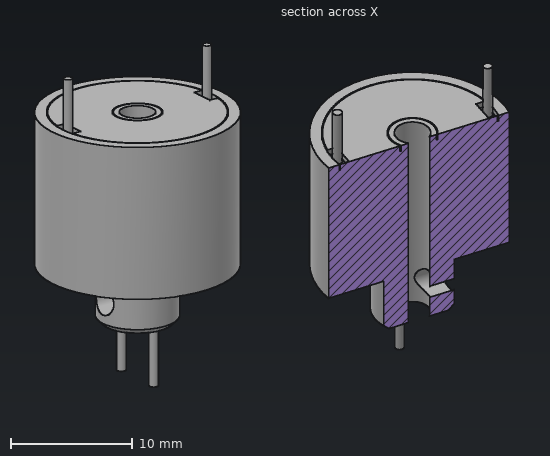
import cadquery as cq

body_diameter = 17.0
body_height = 13.35

boss_diameter = 7.0
boss_height = 5.0
boss_chamfer = 0.5
bore_diameter = 3.0
side_hole_diameter = 2.5

gap_width = 0.08
gap_depth = 0.55
cover_outer_radius = 7.5
sleeve_outer_radius = 2.0

pin_diameter = 0.8
top_pin_length = 4.45
top_pin_offset = 7.0
bottom_pin_length = 5.0
bottom_pin_offset = 2.3
pin_embedment = 0.5

pocket_width = 2.25
pocket_depth = 0.55
pocket_inner_edge = 6.5


def cylinder(radius, bottom, height, x=0, y=0):
    """Upright cylinder standing on the plane Z = bottom."""
    return cq.Workplane("XY", origin=(x, y, bottom)).circle(radius).extrude(height)


def ring_gap(inner_radius):
    """Narrow annular groove sunk from the top face."""
    floor = body_height - gap_depth
    outer = cylinder(inner_radius + gap_width, floor, gap_depth)
    return outer.cut(cylinder(inner_radius, floor, gap_depth))


def pin_pocket(side):
    """Pocket with straight sides, bounded outside by the outer ring gap."""
    floor = body_height - pocket_depth
    length = cover_outer_radius - pocket_inner_edge
    middle = (cover_outer_radius + pocket_inner_edge) / 2
    block = (
        cq.Workplane("XY", origin=(0, side * middle, floor))
        .rect(pocket_width, length)
        .extrude(pocket_depth)
    )
    return block.intersect(cylinder(cover_outer_radius, floor, pocket_depth))


boss = cylinder(boss_diameter / 2, -boss_height, boss_height)
boss = boss.faces("<Z").edges().chamfer(boss_chamfer)
result = cylinder(body_diameter / 2, 0, body_height).union(boss)

result = result.cut(cylinder(bore_diameter / 2, -boss_height, boss_height + body_height))
side_hole = (
    cq.Workplane("XZ", origin=(0, 0, -boss_height / 2))
    .circle(side_hole_diameter / 2)
    .extrude(boss_diameter)
)
result = result.cut(side_hole)

for inner_radius in (cover_outer_radius - gap_width, sleeve_outer_radius):
    result = result.cut(ring_gap(inner_radius))

for side in (-1, 1):
    top_pin = cylinder(
        pin_diameter / 2,
        body_height - pocket_depth,
        top_pin_length + pocket_depth,
        y=side * top_pin_offset,
    )
    bottom_pin = cylinder(
        pin_diameter / 2,
        -boss_height - bottom_pin_length,
        bottom_pin_length + pin_embedment,
        x=side * bottom_pin_offset,
    )
    result = result.cut(pin_pocket(side)).union(top_pin).union(bottom_pin)